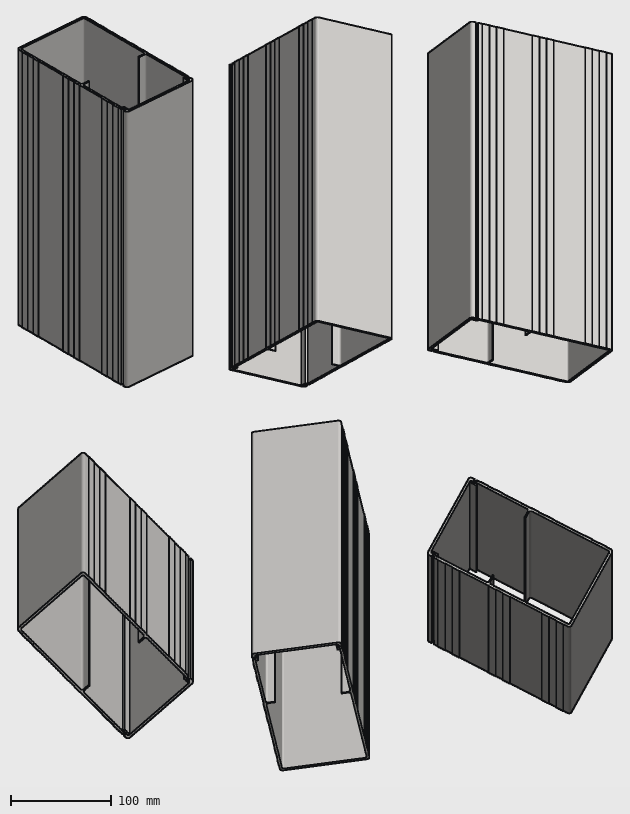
import cadquery as cq


LENGTH = 325.0
WIDTH = 162.5
DEPTH = 91.0
WALL = 2.5
OUTER_RADIUS = 3.0
INNER_RADIUS = 1.5

HALF_WIDTH = WIDTH / 2
HALF_DEPTH = DEPTH / 2
INNER_Y = HALF_DEPTH - WALL

HOUSING_END_X = 73.0
JOINT_GAP = 2.5
LID_START_X = HOUSING_END_X + JOINT_GAP
LID_FLANGE = 3.2
LID_INNER_X = HALF_WIDTH - WALL
TONGUE_START_X = 71.2
TONGUE_THICKNESS = 2.0
TONGUE_OUTER_Y = HALF_DEPTH - LID_FLANGE
TONGUE_INNER_Y = TONGUE_OUTER_Y - TONGUE_THICKNESS

BAND_WIDTH = 8.0
BAND_HEIGHT = 0.3
BAND_PAIR_STARTS = [-73.5, -13.0, 44.2]
BAND_STEP = 2 * BAND_WIDTH

FIN_X = 12.5
FIN_THICKNESS = 1.3
FIN_TIP_Y = 33.8
FIN_FILLET = 2.3


def block(x_start, x_end, y_start, y_end):
    """Full-length block between two X and two Y positions."""
    return (
        cq.Workplane("XY")
        .box(x_end - x_start, y_end - y_start, LENGTH, centered=(False, False, True))
        .translate((x_start, y_start, 0))
    )


def rounded_block(half_x, half_y, radius):
    """Full-length block centred on the axis, with rounded lengthwise edges."""
    return block(-half_x, half_x, -half_y, half_y).edges("|Z").fillet(radius)


def both_sides(body):
    """Add the mirror image of a feature of the +Y wall on the -Y wall."""
    return body.union(body.mirror("XZ"))


def make_shell():
    """Rounded outer tube, open where the lid goes."""
    outer = rounded_block(HALF_WIDTH, HALF_DEPTH, OUTER_RADIUS)
    cavity = rounded_block(HALF_WIDTH - WALL, INNER_Y, INNER_RADIUS)
    opening = block(HOUSING_END_X, HALF_WIDTH, -HALF_DEPTH, HALF_DEPTH)
    return outer.cut(cavity).cut(opening)


def make_tongue():
    """Stepped hook on the +Y wall; its tongue fills the inner corner of the lid."""
    root = block(TONGUE_START_X, HOUSING_END_X, TONGUE_INNER_Y, INNER_Y)
    tongue = (
        block(TONGUE_START_X, LID_INNER_X, TONGUE_INNER_Y, TONGUE_OUTER_Y)
        .edges("|Z and >X and >Y")
        .fillet(INNER_RADIUS)
    )
    return root.union(tongue)


def make_fin():
    """Thin fin pointing inward from the +Y wall, with filleted root."""
    left = FIN_X - FIN_THICKNESS / 2
    right = FIN_X + FIN_THICKNESS / 2
    root_y = INNER_Y - FIN_FILLET
    bulge = FIN_FILLET * (1 - 0.5 ** 0.5)
    return (
        cq.Workplane("XY")
        .moveTo(left, FIN_TIP_Y)
        .lineTo(right, FIN_TIP_Y)
        .lineTo(right, root_y)
        .threePointArc((right + bulge, INNER_Y - bulge), (right + FIN_FILLET, INNER_Y))
        .lineTo(left - FIN_FILLET, INNER_Y)
        .threePointArc((left - bulge, INNER_Y - bulge), (left, root_y))
        .close()
        .extrude(LENGTH / 2, both=True)
    )


def make_band(start):
    """Flat raised band on the +Y wall."""
    return block(start, start + BAND_WIDTH, HALF_DEPTH, HALF_DEPTH + BAND_HEIGHT)


def make_housing():
    housing = make_shell().union(both_sides(make_tongue())).union(both_sides(make_fin()))
    for pair_start in BAND_PAIR_STARTS:
        for start in (pair_start, pair_start + BAND_STEP):
            housing = housing.union(both_sides(make_band(start)))
    return housing


def make_lid():
    """Channel-shaped lid whose two flanges rest on the tongues of the housing."""
    half_opening = HALF_DEPTH - LID_FLANGE
    cavity = rounded_block(LID_INNER_X, half_opening, INNER_RADIUS)
    beyond_lid = block(-HALF_WIDTH, LID_START_X, -HALF_DEPTH, HALF_DEPTH)
    return rounded_block(HALF_WIDTH, HALF_DEPTH, OUTER_RADIUS).cut(cavity).cut(beyond_lid)


housing = make_housing()
lid = make_lid()

result = cq.Compound.makeCompound([housing.val(), lid.val()])